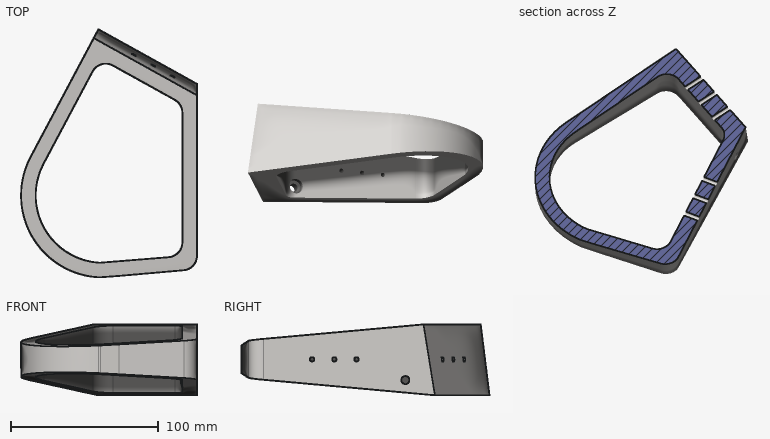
import cadquery as cq
import math


wall = 10.0
bow_radius = 55.5
right_x = 63.54
left_lean = math.radians(28.0)
end_angle = math.radians(29.0)
end_y = 112.3
corner_radius = 10.0

bow_end_x = -2.4
bend_x = 10.5
outer_slope_to_bend = math.radians(4.2)
outer_slope = math.radians(5.0)
inner_slope = math.radians(4.6)

height = 48.05
wedge_angle = math.radians(5.9)
end_tilt = math.radians(8.0)
profile_reach = 100.0

screw_diameter = 3.0
screw_pitch = 15.0
screw_count = 3
side_row_y = 7.35
end_row_offset = -12.9

cable_diameter = 5.5
cable_step_diameter = 10.0
cable_step_depth = 4.0
cable_y = 55.4
cable_z = -14.0

end_normal = cq.Vector(math.sin(end_angle), math.cos(end_angle), 0)
end_along = cq.Vector(math.cos(end_angle), -math.sin(end_angle), 0)


def left_wall_x(y, radius):
    """X on the left wall line that is tangent to a bow of the given radius."""
    return (y * math.sin(left_lean) - radius) / math.cos(left_lean)


end_lower_distance = end_y * end_normal.y + left_wall_x(end_y, bow_radius) * end_normal.x
end_run = height * math.tan(end_tilt)
end_upper_distance = end_lower_distance - end_run
end_inner_distance = end_upper_distance - wall


def bow_end(radius):
    """Point where the bow meets the bottom wall."""
    return (bow_end_x, -math.sqrt(radius**2 - bow_end_x**2))


def along_slope(start, slope, x):
    """Point at x on the line that rises from start at the given slope."""
    return (x, start[1] + (x - start[0]) * math.tan(slope))


def end_corners(radius, side_x, end_distance):
    """Right and left corner of the end wall line."""
    right = (side_x, (end_distance - side_x * end_normal.x) / end_normal.y)
    crossing = end_distance * math.cos(left_lean) + radius * math.sin(end_angle)
    left_y = crossing / math.cos(end_angle - left_lean)
    return right, (left_wall_x(left_y, radius), left_y)


def prism(radius, bottom_points, end_points, rounded_corners):
    """Upright prism over a plan outline, with the listed corners rounded."""
    bow_start = (-radius * math.cos(left_lean), radius * math.sin(left_lean))
    bow_middle = (-radius * math.sqrt(0.5), -radius * math.sqrt(0.5))
    outline = cq.Workplane("XY").moveTo(*bow_start).threePointArc(bow_middle, bow_end(radius))
    for point in (*bottom_points, *end_points):
        outline = outline.lineTo(*point)
    solid = outline.close().extrude(height, both=True)
    for corner in rounded_corners:
        upright_edge = cq.selectors.NearestToPointSelector((*corner, 0))
        solid = solid.edges(upright_edge).fillet(corner_radius)
    return solid


def outer_prism():
    """Outside of the frame in plan, out to the lower edge of the end face."""
    start = bow_end(bow_radius)
    bend = along_slope(start, outer_slope_to_bend, bend_x)
    bottom_right = along_slope(bend, outer_slope, right_x)
    end_points = end_corners(bow_radius, right_x, end_lower_distance)
    return prism(bow_radius, [bend, bottom_right], end_points, [start, bottom_right])


def opening_prism():
    """Opening inside the walls."""
    radius = bow_radius - wall
    side_x = right_x - wall
    bottom_right = along_slope(bow_end(radius), inner_slope, side_x)
    end_points = end_corners(radius, side_x, end_inner_distance)
    return prism(radius, [bottom_right], end_points, [bottom_right, *end_points])


def wedge():
    """Side profile, swept along the end wall: distance along the end normal against Z."""
    slope = math.tan(wedge_angle)
    upper_z = (height - slope * end_run) / 2
    lower_z = upper_z - height
    far = -profile_reach
    far_z = upper_z - slope * (end_upper_distance - far)
    plane = cq.Plane(origin=(0, 0, 0), xDir=end_normal, normal=end_along)
    return (
        cq.Workplane(plane)
        .moveTo(end_upper_distance, upper_z)
        .lineTo(end_lower_distance, lower_z)
        .lineTo(far, -far_z)
        .lineTo(far, far_z)
        .close()
        .extrude(2 * profile_reach, both=True)
    )


def screw_row(plane, length):
    """Row of screw holes along the plane's X, drilled along its normal."""
    return (
        cq.Workplane(plane)
        .rarray(screw_pitch, 1, screw_count, 1)
        .circle(screw_diameter / 2)
        .extrude(length)
    )


def end_screws():
    origin = end_normal * end_inner_distance + end_along * end_row_offset
    plane = cq.Plane(origin=origin, xDir=end_along, normal=end_normal)
    return screw_row(plane, wall + end_run)


def side_screws():
    plane = cq.Plane(origin=(right_x - wall, side_row_y, 0), xDir=(0, 1, 0), normal=(1, 0, 0))
    return screw_row(plane, wall)


def cable_hole():
    """Bore and inner step along X; the step also cuts the rounded corner beside it."""
    face = cq.Workplane("YZ", origin=(right_x - wall, cable_y, cable_z))
    bore = face.circle(cable_diameter / 2).extrude(wall)
    step = (
        face.workplane(offset=-corner_radius)
        .circle(cable_step_diameter / 2)
        .extrude(corner_radius + cable_step_depth)
    )
    return bore.union(step)


result = outer_prism().intersect(wedge()).cut(opening_prism())
result = result.cut(end_screws()).cut(side_screws()).cut(cable_hole())